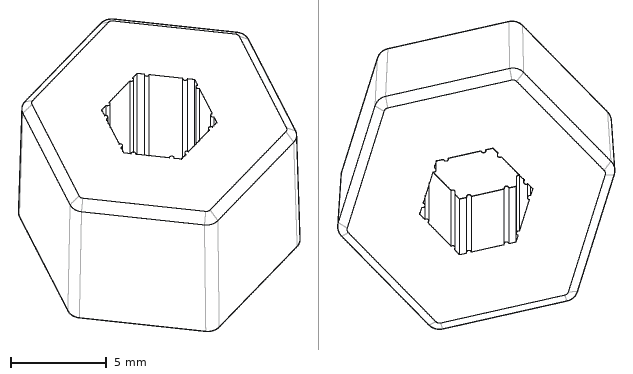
import cadquery as cq
import math

height = 10.0
base_across_flats = 13.05
draft_angle = 1.0
corner_radius = 0.75
end_chamfer = 0.5

bore_across_flats = 5.25
rib_radius = 0.125
rib_offset = 1.0

HEX_SIDES = 6
CORNER_PER_FLAT = 1 / math.cos(math.pi / HEX_SIDES)


def hexagon(across_flats):
    """Hexagon sketched on the XY plane, with two corners on the X axis."""
    return cq.Workplane("XY").polygon(HEX_SIDES, across_flats * CORNER_PER_FLAT)


def make_body():
    body = hexagon(base_across_flats).extrude(height, taper=draft_angle)
    body = body.edges("not(<Z or >Z)").fillet(corner_radius)
    return body.faces("<Z or >Z").chamfer(end_chamfer)


def make_bore():
    bore = hexagon(bore_across_flats).extrude(height)
    first_flat_ribs = (
        cq.Workplane("XY")
        .pushPoints([(side * rib_offset, bore_across_flats / 2) for side in (-1, 1)])
        .circle(rib_radius)
        .extrude(height)
    )
    for flat in range(HEX_SIDES):
        angle = flat * 360 / HEX_SIDES
        bore = bore.cut(first_flat_ribs.rotate((0, 0, 0), (0, 0, 1), angle))
    return bore


result = make_body().cut(make_bore())